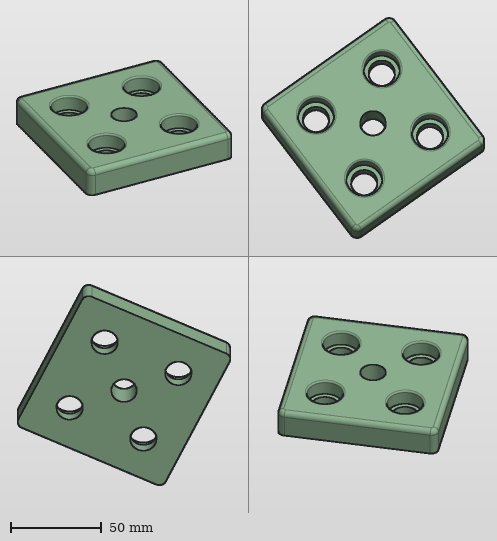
import cadquery as cq

side = 90.0
thickness = 16.0
corner_radius = 4.0
top_edge_radius = 3.0

hole_spacing = side / 2
screw_hole_diameter = 14.5
counterbore_diameter = 20.0
counterbore_depth = 9.0
counterbore_rim_radius = 1.0

center_hole_diameter = 14.0


def make_plate():
    """Square plate standing on Z = 0, with rounded corners and a rounded top edge."""
    plate = cq.Workplane("XY").box(side, side, thickness, centered=(True, True, False))
    plate = plate.edges("|Z").fillet(corner_radius)
    return plate.faces(">Z").edges().fillet(top_edge_radius)


def make_screw_hole_cutter():
    """Half profile of a counterbored hole with a rounded rim, revolved about the Z axis."""
    hole_radius = screw_hole_diameter / 2
    bore_radius = counterbore_diameter / 2
    bore_floor = thickness - counterbore_depth
    profile = (
        cq.Workplane("XZ")
        .moveTo(0, 0)
        .lineTo(hole_radius, 0)
        .lineTo(hole_radius, bore_floor)
        .lineTo(bore_radius, bore_floor)
        .lineTo(bore_radius, thickness - counterbore_rim_radius)
        .radiusArc((bore_radius + counterbore_rim_radius, thickness), counterbore_rim_radius)
        .lineTo(0, thickness)
        .close()
    )
    return profile.revolve(360, (0, 0, 0), (0, 1, 0))


def cut_screw_holes(plate):
    cutter = make_screw_hole_cutter()
    offset = hole_spacing / 2
    for x in (-offset, offset):
        for y in (-offset, offset):
            plate = plate.cut(cutter.translate((x, y, 0)))
    return plate


def cut_center_hole(plate):
    return plate.cut(cq.Workplane("XY").circle(center_hole_diameter / 2).extrude(thickness))


result = cut_center_hole(cut_screw_holes(make_plate()))